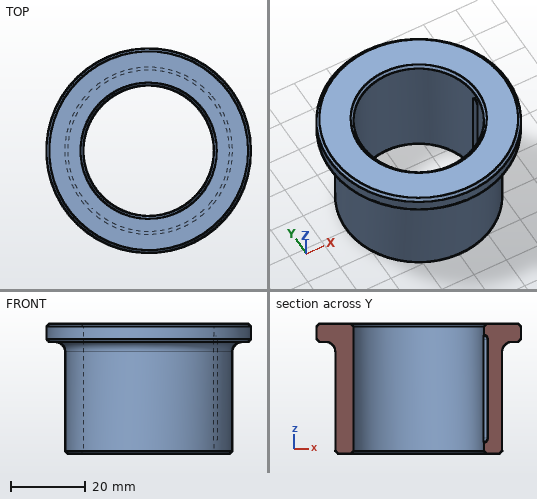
import cadquery as cq

TOTAL_HEIGHT = 35.0
BORE_DIAMETER = 35.0
SLEEVE_DIAMETER = 45.0
FLANGE_DIAMETER = 55.0
FLANGE_THICKNESS = 5.0
CHAMFER = 0.8
NECK_FILLET = 2.5

GROOVE_RADIUS = 1.25
GROOVE_DEPTH = 1.0
GROOVE_END_MARGIN = 3.0

BORE_RADIUS = BORE_DIAMETER / 2
SLEEVE_RADIUS = SLEEVE_DIAMETER / 2
FLANGE_RADIUS = FLANGE_DIAMETER / 2
FLANGE_UNDERSIDE = TOTAL_HEIGHT - FLANGE_THICKNESS
GROOVE_AXIS_X = BORE_RADIUS + GROOVE_DEPTH - GROOVE_RADIUS


def bushing_body():
    """Revolve the half section: bore, sleeve, filleted neck and chamfered flange."""
    profile = (
        cq.Workplane("XZ")
        .moveTo(BORE_RADIUS + CHAMFER, 0)
        .lineTo(SLEEVE_RADIUS - CHAMFER, 0)
        .lineTo(SLEEVE_RADIUS, CHAMFER)
        .lineTo(SLEEVE_RADIUS, FLANGE_UNDERSIDE - NECK_FILLET)
        .tangentArcPoint((SLEEVE_RADIUS + NECK_FILLET, FLANGE_UNDERSIDE), relative=False)
        .lineTo(FLANGE_RADIUS - CHAMFER, FLANGE_UNDERSIDE)
        .lineTo(FLANGE_RADIUS, FLANGE_UNDERSIDE + CHAMFER)
        .lineTo(FLANGE_RADIUS, TOTAL_HEIGHT - CHAMFER)
        .lineTo(FLANGE_RADIUS - CHAMFER, TOTAL_HEIGHT)
        .lineTo(BORE_RADIUS + CHAMFER, TOTAL_HEIGHT)
        .lineTo(BORE_RADIUS, TOTAL_HEIGHT - CHAMFER)
        .lineTo(BORE_RADIUS, CHAMFER)
        .close()
    )
    return profile.revolve(360, (0, 0, 0), (0, 1, 0))


def groove_cutter():
    """Vertical ball-ended bar sunk into the bore wall, stopping short of both ends."""
    lower_ball_z = GROOVE_END_MARGIN + GROOVE_RADIUS
    upper_ball_z = TOTAL_HEIGHT - lower_ball_z
    bar = (
        cq.Workplane("XY", origin=(GROOVE_AXIS_X, 0, lower_ball_z))
        .circle(GROOVE_RADIUS)
        .extrude(upper_ball_z - lower_ball_z)
    )
    ball = cq.Workplane("XY").sphere(GROOVE_RADIUS)
    for ball_z in (lower_ball_z, upper_ball_z):
        bar = bar.union(ball.translate((GROOVE_AXIS_X, 0, ball_z)))
    return bar


result = bushing_body().cut(groove_cutter())